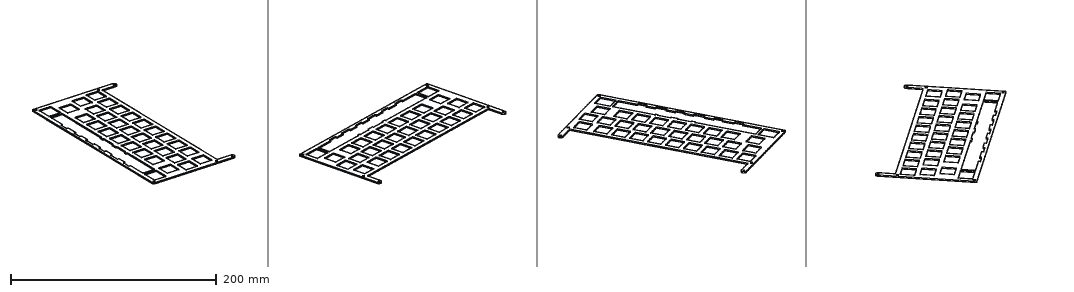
import cadquery as cq

KEY_PITCH = 19.05
KEY_MARGIN = 0.125
KEYS_ACROSS = 10.25
KEYS_DEEP = 4
PLATE_WIDTH = (KEYS_ACROSS + 2 * KEY_MARGIN) * KEY_PITCH
PLATE_DEPTH = (KEYS_DEEP + 2 * KEY_MARGIN) * KEY_PITCH
THICKNESS = 1.51
CORNER_RADIUS = 1.0

SWITCH_CUTOUT = 14.22

KEY_ROWS = [
    [1.75] + [1] * 7 + [1.5],
    [1.25] + [1] * 9,
    [1] * 9 + [1.25],
]

ARM_REACH = KEY_PITCH
ARM_WIDTH = 5.25
PLATE_HOLE_DIAMETER = 2.2
ARM_HOLE_DIAMETER = 1.77
HOLE_INSET = ARM_WIDTH / 2

BOTTOM_ROW_SPANS = [(0.625, 0.75), (1.625, 8.875), (9.75, 9.875)]

STABILIZER_SLOT = 6.85
STABILIZER_STEP = KEY_PITCH / 8
NARROW_NOTCH = STABILIZER_SLOT + STABILIZER_STEP
WIDE_NOTCH = STABILIZER_SLOT + 2 * STABILIZER_STEP
NOTCH_DEPTH = 2.0
NOTCHES = [
    (-51.4, NARROW_NOTCH),
    (-29.9, NARROW_NOTCH),
    (-9.6, WIDE_NOTCH),
    (10.8, NARROW_NOTCH),
    (31.1, WIDE_NOTCH),
    (51.3, NARROW_NOTCH),
]
TOOTH_DEPTH = 1.3
TEETH = [
    (-9.5, 4.6),
    (10.8, 7.1),
    (29.5, 2.5),
]


def block(x_min, x_max, y_min, y_max):
    """Full-thickness block over a rectangle."""
    size = (x_max - x_min, y_max - y_min, THICKNESS)
    return cq.Workplane("XY").box(*size, centered=False).translate((x_min, y_min, 0))


def row_center(row):
    """Y of a key row's center, counting from the bottom row."""
    return (KEY_MARGIN + row + 0.5) * KEY_PITCH


def switch_opening(first_center, last_center, row):
    """Opening reaching from one switch place to another in the same row."""
    half = SWITCH_CUTOUT / 2
    y = row_center(row)
    return block(first_center * KEY_PITCH - half, last_center * KEY_PITCH + half, y - half, y + half)


def plate_blank():
    """Plate with rounded lower corners and a round-ended arm at each upper corner."""
    plate = block(0, PLATE_WIDTH, 0, PLATE_DEPTH)
    arm_top = PLATE_DEPTH + ARM_REACH
    for x_min in (0, PLATE_WIDTH - ARM_WIDTH):
        arm = block(x_min, x_min + ARM_WIDTH, PLATE_DEPTH / 2, arm_top - ARM_WIDTH / 2)
        arm_end = (
            cq.Workplane("XY")
            .center(x_min + ARM_WIDTH / 2, arm_top - ARM_WIDTH / 2)
            .circle(ARM_WIDTH / 2)
            .extrude(THICKNESS)
        )
        plate = plate.union(arm).union(arm_end)
    return plate.edges("|Z and <Y").fillet(CORNER_RADIUS)


def cut_switch_rows(plate):
    """One square opening at the center of every key in the three upper rows."""
    for row, key_widths in enumerate(KEY_ROWS, start=1):
        key_left = KEY_MARGIN
        for key_width in key_widths:
            center = key_left + key_width / 2
            plate = plate.cut(switch_opening(center, center, row))
            key_left += key_width
    return plate


def relief_block(center, width, y_top, depth):
    """Block hanging below y_top, placed along X from the plate's center line."""
    x_min = PLATE_WIDTH / 2 + center - width / 2
    return block(x_min, x_min + width, y_top - depth, y_top)


def cut_bottom_row(plate):
    """Bottom row openings, the long one with notches below and teeth above."""
    for first_center, last_center in BOTTOM_ROW_SPANS:
        plate = plate.cut(switch_opening(first_center, last_center, 0))

    opening_bottom = row_center(0) - SWITCH_CUTOUT / 2
    opening_top = row_center(0) + SWITCH_CUTOUT / 2
    for center, width in NOTCHES:
        plate = plate.cut(relief_block(center, width, opening_bottom, NOTCH_DEPTH))
    for center, width in TEETH:
        plate = plate.union(relief_block(center, width, opening_top, TOOTH_DEPTH))
    return plate


def drill_holes(plate):
    """A screw hole in each plate corner and a smaller one at each arm end."""
    hole_columns = (HOLE_INSET, PLATE_WIDTH - HOLE_INSET)
    hole_rows = [
        (HOLE_INSET, PLATE_HOLE_DIAMETER),
        (PLATE_DEPTH - HOLE_INSET, PLATE_HOLE_DIAMETER),
        (PLATE_DEPTH + ARM_REACH - HOLE_INSET, ARM_HOLE_DIAMETER),
    ]
    for y, diameter in hole_rows:
        drills = (
            cq.Workplane("XY")
            .pushPoints([(x, y) for x in hole_columns])
            .circle(diameter / 2)
            .extrude(THICKNESS)
        )
        plate = plate.cut(drills)
    return plate


result = drill_holes(cut_bottom_row(cut_switch_rows(plate_blank())))